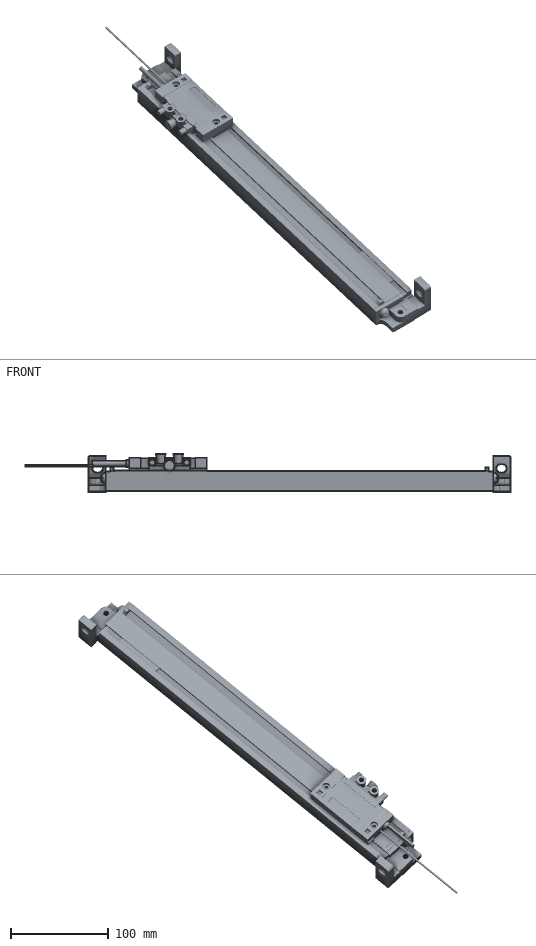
import cadquery as cq
import math


RAIL_START = 83.0
RAIL_END = 482.0
RAIL_DEPTH = 48.0
RAIL_BOTTOM = 1.0
RAIL_TOP = 22.0
RAIL_MIDDLE = (RAIL_START + RAIL_END) / 2
FRONT_GROOVE = (6.5, 15.0)
FRONT_GROOVE_DEPTH = 2.0
REAR_GROOVE = (36.0, 42.0)
REAR_GROOVE_DEPTH = 2.5
REAR_INSERT = (406.5, 457.5)
REAR_INSERT_HEIGHT = 1.5
CAP_LENGTH = 4.5
CAP_STEP = 0.5
CAP_SETBACK = 2.0
CLIP_LENGTH = 3.5
CLIP_HEIGHT = 3.5
CLIP_TOP_WIDTH = 3.0

BRACKET_LENGTH = 18.0
BRACKET_START = RAIL_START - BRACKET_LENGTH
BRACKET_CHAMFER = 1.5
POST_FRONT = 49.5
POST_BACK = 57.5
POST_TOP = 37.5
FOOT_FRONT = 7.5
FOOT_TOP = 7.0
PAD = (8.5, 36.5)
BLOCK_FRONT = 16.5
BLOCK_TOP = 15.0
BLOCK_CORNER = 6.5
LEDGE_FRONT = 40.5
LEDGE_DROP = 1.5
SLOT_INSET = 9.5
SLOT_LENGTH = 10.5
SLOT_HEIGHT = 8.5
SLOT_Z = 24.5
FOOT_HOLE_INSET = 7.5
FOOT_HOLE_Y = 23.5
FOOT_HOLE_DIAMETER = 6.0
SPOT_FACE_WIDTH = 13.5
SPOT_FACE_DEPTH = 0.5
GUSSET_LENGTH = 6.0
PLUG_Y = 10.0
PLUG_Z = 14.5
PLUG_RADIUS = 5.5
PLUG_SLOT_WIDTH = 1.5
PLUG_SLOT_DEPTH = 2.0

HEAD_START = 107.0
HEAD_END = 187.0
HEAD_FRONT = 4.5
HEAD_BACK = 44.0
HEAD_BOTTOM = 24.5
HEAD_TOP = 35.5
LUG_LENGTH = 12.0
LUG_STEP = 0.5
WAIST_INSET = 1.5
LUG_SCREW_Y = 27.0
LUG_SCREW_RADIUS = 4.0
LUG_SCREW_SOCKET = 4.0
LUG_POCKET_Y = 37.0
LUG_POCKET_SIZE = 5.0
LUG_HOLE_INSET = 6.5
LUG_HOLE_DEPTH = 3.0
LABEL = (127.5, 167.5)
LABEL_Y = (31.5, 40.5)
LABEL_DEPTH = 0.5
LABEL_CHAMFER = 1.5
END_NOTCH_Y = (33.0, 42.5)
END_NOTCH_TOP = 29.0
END_NOTCH_DEPTH = 2.5
RUNNER_START = 92.0
RUNNER_Y = (26.5, 35.0)
RUNNER_THICKNESS = 0.5
RUNNER_CHAMFER = 1.5
SKID_Y = (18.0, 43.0)

CARRIER_MIDDLE = 148.5
CARRIER_LENGTH = 42.5
CARRIER_BACK = 11.0
CARRIER_BOTTOM = 22.5
ARM_WIDTH = 7.0
ARM_FRONT = -2.5
ARM_Z = (27.0, 34.0)
CROSSBAR_FRONT = 2.0
BOLT_RADIUS = 3.0
BOLT_FRONT = -9.5
NOZZLE_Z = 27.5
NOZZLE_BACK = -1.5
NOZZLE_BACK_RADIUS = 4.0
NOZZLE_FRONT = -11.0
NOZZLE_FRONT_RADIUS = 5.5
STUB_SPACING = 18.0
STUB_Y = -1.5
STUB_BOTTOM = 29.5
STUB_TOP = 39.5
STUB_FOOT_RADIUS = 4.0
STUB_MOUTH_RADIUS = 5.0
STUB_BORE = 5.5

CABLE_Y = 24.0
CABLE_Z = 27.0
CABLE_RADIUS = 1.0
HOSE_Y = 16.5
HOSE_Z = 29.5
HOSE_RADIUS = 3.0
HOSE_START = 69.0
COLLAR_RADIUS = 4.0
COLLAR_LENGTH = 3.0


def box(x, y, z):
    """Box from (low, high) pairs along each axis."""
    size = (x[1] - x[0], y[1] - y[0], z[1] - z[0])
    return cq.Workplane("XY").box(*size, centered=False).translate((x[0], y[0], z[0]))


def rod_x(start, length, y, z, radius):
    return cq.Workplane("YZ", origin=(start, y, z)).circle(radius).extrude(length)


def rod_y(front, length, x, z, radius):
    return cq.Workplane("XZ", origin=(x, front, z)).circle(radius).extrude(-length)


def rod_z(bottom, length, x, y, radius):
    return cq.Workplane("XY", origin=(x, y, bottom)).circle(radius).extrude(length)


def cone(plane, origin, start_radius, end_radius, length):
    """Cone frustum along the normal of the named plane."""
    return (
        cq.Workplane(plane, origin=origin)
        .circle(start_radius)
        .workplane(offset=length)
        .circle(end_radius)
        .loft()
    )


def make_rail():
    whole_x = (RAIL_START, RAIL_END)
    groove_end = CAP_LENGTH + CLIP_LENGTH
    groove_x = (RAIL_START + groove_end, RAIL_END - groove_end)
    rear_floor = RAIL_TOP - REAR_GROOVE_DEPTH
    rail = box(whole_x, (0, RAIL_DEPTH), (RAIL_BOTTOM, RAIL_TOP))
    rail = rail.cut(box(groove_x, FRONT_GROOVE, (RAIL_TOP - FRONT_GROOVE_DEPTH, RAIL_TOP)))
    rail = rail.cut(box(whole_x, REAR_GROOVE, (rear_floor, RAIL_TOP)))
    return rail.union(box(REAR_INSERT, REAR_GROOVE, (rear_floor, rear_floor + REAR_INSERT_HEIGHT)))


def make_cap_cut():
    """Material removed at one end of the rail: the cap's low step and its rear corner."""
    step = box((RAIL_START, RAIL_START + CAP_LENGTH), (0, RAIL_DEPTH), (RAIL_TOP - CAP_STEP, RAIL_TOP))
    corner_x = (RAIL_START, RAIL_START + CAP_SETBACK)
    return step.union(box(corner_x, (REAR_GROOVE[0], RAIL_DEPTH), (BLOCK_TOP, RAIL_TOP)))


def make_bracket():
    x = (BRACKET_START, RAIL_START)
    post = box(x, (POST_FRONT, POST_BACK), (0, POST_TOP))
    post = post.edges("|Y and <X").chamfer(BRACKET_CHAMFER)
    slot = (
        cq.Workplane("XZ", origin=(BRACKET_START + SLOT_INSET, POST_FRONT, SLOT_Z))
        .slot2D(SLOT_LENGTH, SLOT_HEIGHT)
        .extrude(POST_FRONT - POST_BACK)
    )
    foot = box(x, (FOOT_FRONT, POST_FRONT), (RAIL_BOTTOM, FOOT_TOP))
    foot = foot.union(box(x, PAD, (0, FOOT_TOP)))
    block = box(x, (BLOCK_FRONT, LEDGE_FRONT), (FOOT_TOP, BLOCK_TOP))
    block = block.edges("|Z and <X and <Y").fillet(BLOCK_CORNER)
    ledge = box(x, (LEDGE_FRONT, POST_FRONT), (FOOT_TOP, BLOCK_TOP - LEDGE_DROP))
    bracket = post.cut(slot).union(foot).union(block).union(ledge)

    hole_x = BRACKET_START + FOOT_HOLE_INSET
    hole = rod_z(0, BLOCK_TOP, hole_x, FOOT_HOLE_Y, FOOT_HOLE_DIAMETER / 2)
    spot_end = rod_z(BLOCK_TOP - SPOT_FACE_DEPTH, SPOT_FACE_DEPTH, hole_x, FOOT_HOLE_Y, SPOT_FACE_WIDTH / 2)
    spot_sides = box(
        (hole_x, RAIL_START),
        (FOOT_HOLE_Y - SPOT_FACE_WIDTH / 2, FOOT_HOLE_Y + SPOT_FACE_WIDTH / 2),
        (BLOCK_TOP - SPOT_FACE_DEPTH, BLOCK_TOP),
    )
    return bracket.cut(hole).cut(spot_end).cut(spot_sides)


def make_gusset():
    """Concave web from the foot to the front corner of the rail."""
    root_x = RAIL_START - GUSSET_LENGTH
    bulge = 1 - math.sqrt(0.5)
    middle = (RAIL_START - GUSSET_LENGTH * bulge, FOOT_FRONT * (1 - bulge))
    return (
        cq.Workplane("XY", origin=(0, 0, RAIL_BOTTOM))
        .moveTo(RAIL_START, 0)
        .threePointArc(middle, (root_x, FOOT_FRONT))
        .lineTo(RAIL_START, FOOT_FRONT)
        .close()
        .extrude(FOOT_TOP - RAIL_BOTTOM)
    )


def make_plug():
    """Domed plug on the end cap, slotted across its tip, with its inner half sunk in the rail."""
    dome = cq.Workplane("XY", origin=(RAIL_START, PLUG_Y, PLUG_Z)).sphere(PLUG_RADIUS)
    tip_x = RAIL_START - PLUG_RADIUS
    slot = box(
        (tip_x, tip_x + PLUG_SLOT_DEPTH),
        (PLUG_Y - PLUG_RADIUS, PLUG_Y + PLUG_RADIUS),
        (PLUG_Z - PLUG_SLOT_WIDTH / 2, PLUG_Z + PLUG_SLOT_WIDTH / 2),
    )
    return dome.cut(slot)


def make_clip():
    """Trapezoidal hump at the end of the front groove."""
    front, back = FRONT_GROOVE
    middle = (front + back) / 2
    top = RAIL_TOP + CLIP_HEIGHT
    return (
        cq.Workplane("YZ", origin=(RAIL_START + CAP_LENGTH, 0, 0))
        .moveTo(front, RAIL_TOP)
        .lineTo(back, RAIL_TOP)
        .lineTo(middle + CLIP_TOP_WIDTH / 2, top)
        .lineTo(middle - CLIP_TOP_WIDTH / 2, top)
        .close()
        .extrude(CLIP_LENGTH)
    )


def make_housing():
    centre = (RAIL_MIDDLE, 0, 0)
    cap_cut = make_cap_cut()
    end_parts = make_bracket().union(make_gusset()).union(make_plug()).union(make_clip())
    rail = make_rail().cut(cap_cut).cut(cap_cut.mirror("YZ", centre))
    return rail.union(end_parts).union(end_parts.mirror("YZ", centre))


def make_head_block():
    x = (HEAD_START, HEAD_END)
    waist_x = (HEAD_START + LUG_LENGTH, HEAD_END - LUG_LENGTH)
    head = box(x, (HEAD_FRONT, HEAD_BACK), (HEAD_BOTTOM, HEAD_TOP))
    head = head.cut(box(waist_x, (HEAD_FRONT, HEAD_BACK), (HEAD_TOP - LUG_STEP, HEAD_TOP)))
    head = head.cut(box(waist_x, (HEAD_FRONT, HEAD_FRONT + WAIST_INSET), (HEAD_BOTTOM, HEAD_TOP)))
    label_floor = HEAD_TOP - LUG_STEP - LABEL_DEPTH
    label = box(LABEL, LABEL_Y, (label_floor, HEAD_TOP)).edges("|Z and <X").chamfer(LABEL_CHAMFER)
    head = head.cut(label)
    notch_x = (HEAD_START, HEAD_START + END_NOTCH_DEPTH)
    head = head.cut(box(notch_x, END_NOTCH_Y, (HEAD_BOTTOM, END_NOTCH_TOP)))
    for hole_x in (HEAD_START + LUG_HOLE_INSET, HEAD_END - LUG_HOLE_INSET):
        floor = HEAD_TOP - LUG_HOLE_DEPTH
        recess = rod_z(floor, LUG_HOLE_DEPTH, hole_x, LUG_SCREW_Y, LUG_SCREW_RADIUS)
        socket = rod_z(floor - LUG_HOLE_DEPTH, LUG_HOLE_DEPTH, hole_x, LUG_SCREW_Y, LUG_SCREW_SOCKET / 2)
        pocket = (
            cq.Workplane("XY", origin=(hole_x, LUG_POCKET_Y, floor))
            .rect(LUG_POCKET_SIZE, LUG_POCKET_SIZE)
            .extrude(LUG_HOLE_DEPTH)
        )
        head = head.cut(recess).cut(socket).cut(pocket)
    return head


def make_runner():
    """Skid under the head, with a thin tongue lying on the rail cover."""
    skid = box((HEAD_START, HEAD_END), SKID_Y, (RAIL_TOP, HEAD_BOTTOM))
    tongue = box((RUNNER_START, HEAD_START), RUNNER_Y, (RAIL_TOP, RAIL_TOP + RUNNER_THICKNESS))
    return skid.union(tongue.edges("|Z and <X and <Y").chamfer(RUNNER_CHAMFER))


def make_carrier():
    """Plate on the front of the head, with a crossbar and three arms that hold the outlets."""
    half = CARRIER_LENGTH / 2
    x = (CARRIER_MIDDLE - half, CARRIER_MIDDLE + half)
    carrier = box(x, (HEAD_FRONT, CARRIER_BACK), (CARRIER_BOTTOM, HEAD_TOP))
    carrier = carrier.union(box(x, (CROSSBAR_FRONT, HEAD_FRONT), ARM_Z))
    bolt_z = sum(ARM_Z) / 2
    for side in (-1, 0, 1):
        arm_x = CARRIER_MIDDLE + side * (half - ARM_WIDTH / 2)
        arm_range = (arm_x - ARM_WIDTH / 2, arm_x + ARM_WIDTH / 2)
        carrier = carrier.union(box(arm_range, (ARM_FRONT, CROSSBAR_FRONT), ARM_Z))
        if side:
            bolt = rod_y(BOLT_FRONT, ARM_FRONT - BOLT_FRONT, arm_x, bolt_z, BOLT_RADIUS)
            carrier = carrier.union(bolt)
    return carrier


def make_outlets():
    """Flared nozzle pointing forward and two hollow flared stubs pointing up."""
    nozzle_origin = (CARRIER_MIDDLE, NOZZLE_BACK, NOZZLE_Z)
    nozzle_length = NOZZLE_BACK - NOZZLE_FRONT
    nozzle = cone("XZ", nozzle_origin, NOZZLE_BACK_RADIUS, NOZZLE_FRONT_RADIUS, nozzle_length)
    outlets = make_carrier().union(nozzle)
    height = STUB_TOP - STUB_BOTTOM
    for side in (-1, 1):
        x = CARRIER_MIDDLE + side * STUB_SPACING / 2
        stub = cone("XY", (x, STUB_Y, STUB_BOTTOM), STUB_FOOT_RADIUS, STUB_MOUTH_RADIUS, height)
        bore = rod_z(STUB_BOTTOM, height, x, STUB_Y, STUB_BORE / 2)
        outlets = outlets.union(stub.cut(bore))
    return outlets


def make_lines():
    cable = rod_x(0, HEAD_START, CABLE_Y, CABLE_Z, CABLE_RADIUS)
    hose = rod_x(HOSE_START, HEAD_START - HOSE_START, HOSE_Y, HOSE_Z, HOSE_RADIUS)
    rear_half = box(
        (HOSE_START, HEAD_START),
        (HOSE_Y, HOSE_Y + HOSE_RADIUS),
        (HOSE_Z - HOSE_RADIUS, HOSE_Z + HOSE_RADIUS),
    )
    collar = rod_x(HEAD_START - COLLAR_LENGTH, COLLAR_LENGTH, HOSE_Y, HOSE_Z, COLLAR_RADIUS)
    return cable.union(hose.cut(rear_half)).union(collar)


def make_head():
    return make_head_block().union(make_runner()).union(make_outlets()).union(make_lines())


housing = make_housing()
head = make_head()
result = cq.Compound.makeCompound([housing.val(), head.val()])